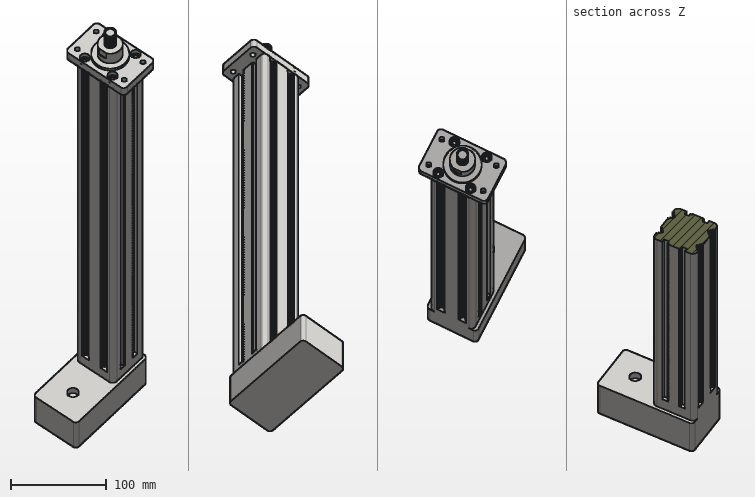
import cadquery as cq


total_height = 588
gearbox_top = 42.5
groove_bottom = 56.5
flange_bottom = 537.0
flange_top = 548.5
collar_top = 552.0
rod_top = 568.5

profile_width = 51.0
profile_radius = 5.0

gearbox_width = 59
gearbox_length = 116.0
gearbox_radius = 4.0
gearbox_y = profile_width / 2 - gearbox_length / 2
port_y = -60.5
port_diameter = 12.5
port_depth = 9.0

broad_groove_steps = [(7.5, 17.0, 2.0), (9.5, 15.0, 3.5), (11.0, 13.5, 5.0)]
side_groove_steps = [(6.5, 13.5, 1.0), (8.0, 13.5, 4.0)]

flange_width = 80.0
flange_length = 50.5
flange_radius = 4.5
mount_x = 32.0
mount_y = 15.0
mount_diameter = 5.0
screw_offset = 19.0
counterbore_diameter = 10.5
counterbore_depth = 6
screw_head_diameter = 8.0
screw_head_height = 2.0
socket_sides = 6
socket_width = 4.0

collar_diameter = 40.0
rod_diameter = 26.5
flat_offset = 12.5
flat_height = 9.0
stud_diameter = 12.5
thread_depth = 1.0
thread_count = 11
thread_pitch = (total_height - rod_top) / thread_count


def rounded_block(width, length, bottom, top, radius, center_y=0):
    block = cq.Workplane("XY", origin=(0, center_y, bottom)).rect(width, length).extrude(top - bottom)
    return block.edges("|Z").fillet(radius)


def cylinder(diameter, bottom, top, points=((0, 0),)):
    plane = cq.Workplane("XY", origin=(0, 0, bottom))
    return plane.pushPoints(points).circle(diameter / 2).extrude(top - bottom)


def corner_points(x, y):
    return [(x, y), (-x, y), (x, -y), (-x, -y)]


def make_gearbox():
    gearbox = rounded_block(gearbox_width, gearbox_length, 0, gearbox_top, gearbox_radius, gearbox_y)
    return gearbox.cut(cylinder(port_diameter, gearbox_top - port_depth, gearbox_top, [(0, port_y)]))


def groove_pair(steps):
    """Two mirrored stepped grooves for the -Y face of the profile."""
    face_y = -profile_width / 2
    grooves = cq.Workplane("XY")
    for inner, outer, depth in steps:
        center = (inner + outer) / 2
        step = (
            cq.Workplane("XY", origin=(0, face_y, groove_bottom))
            .pushPoints([(-center, 0), (center, 0)])
            .rect(outer - inner, 2 * depth)
            .extrude(flange_bottom - groove_bottom)
        )
        grooves = grooves.add(step)
    return grooves.combine()


def make_profile():
    """Square bar, grooved along its length above the plain end cap."""
    profile = rounded_block(profile_width, profile_width, gearbox_top, flange_bottom, profile_radius)
    broad = groove_pair(broad_groove_steps)
    narrow = groove_pair(side_groove_steps)
    for angle in (0, 180):
        profile = profile.cut(broad.rotate((0, 0, 0), (0, 0, 1), angle))
        profile = profile.cut(narrow.rotate((0, 0, 0), (0, 0, 1), angle + 90))
    return profile


def make_flange():
    """Flange with mounting holes, counterbored socket-head screws and a round collar."""
    flange = rounded_block(flange_width, flange_length, flange_bottom, flange_top, flange_radius)
    flange = flange.cut(cylinder(mount_diameter, flange_bottom, flange_top, corner_points(mount_x, mount_y)))
    screws = corner_points(screw_offset, screw_offset)
    counterbore_floor = flange_top - counterbore_depth
    head_top = counterbore_floor + screw_head_height
    flange = flange.cut(cylinder(counterbore_diameter, counterbore_floor, flange_top, screws))
    heads = cylinder(screw_head_diameter, counterbore_floor, head_top, screws)
    sockets = (
        cq.Workplane("XY", origin=(0, 0, counterbore_floor))
        .pushPoints(screws)
        .polygon(socket_sides, socket_width, circumscribed=True)
        .extrude(screw_head_height)
    )
    flange = flange.union(heads.cut(sockets))
    return flange.union(cylinder(collar_diameter, flange_bottom, collar_top))


def make_rod():
    rod = cylinder(rod_diameter, collar_top, rod_top)
    flats = (
        cq.Workplane("XY", origin=(0, 0, rod_top - flat_height))
        .rect(rod_diameter, 2 * rod_diameter)
        .rect(rod_diameter, 2 * flat_offset)
        .extrude(flat_height)
    )
    return rod.cut(flats)


def make_stud():
    """Stud with ring-shaped V threads; a full crest ends the tip."""
    stud_radius = stud_diameter / 2
    root_radius = stud_radius - thread_depth
    outline = [(0, rod_top), (stud_radius, rod_top)]
    for index in range(thread_count):
        thread_bottom = rod_top + index * thread_pitch
        outline.append((root_radius, thread_bottom + thread_pitch / 2))
        outline.append((stud_radius, thread_bottom + thread_pitch))
    outline.append((0, total_height))
    return cq.Workplane("XZ").polyline(outline).close().revolve(360, (0, 0), (0, 1))


result = (
    make_gearbox()
    .union(make_profile())
    .union(make_flange())
    .union(make_rod())
    .union(make_stud())
)